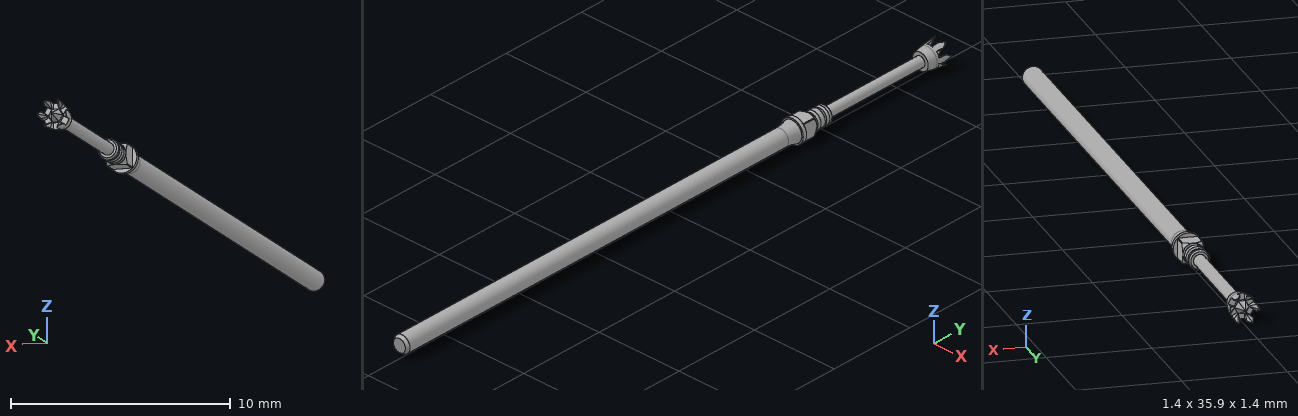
import cadquery as cq
import math


total_length = 35.9
tip_y = 9.65
end_y = tip_y - total_length
head_length = 1.38
head_taper_length = 0.47
sleeve_length = 1.98
sleeve_chamfer = 0.08
square_length = 0.9
collar_length = 0.22
flare_length = 0.77
end_chamfer_length = 0.18
end_chamfer_depth = 0.12

head_tip_diameter = 1.4
head_rim_diameter = 1.2
head_base_diameter = 1.0
shaft_diameter = 0.6
barrel_diameter = 1.0
collar_diameter = 1.4
flare_diameter = 1.22

square_width = 1.0
square_corner_diameter = 1.37

groove_depth = 0.05
groove_width = 0.3
groove_centres = (1.6, 1.02)

crown_directions = 3
crown_pitch = head_tip_diameter / 2
crown_row_spacing = crown_pitch * math.sin(math.pi / 3)
crown_depth = 0.6

slot_count = 6
slot_width = 0.32
slot_depth = 0.75
slot_inner_radius = 0.3


def turned(points):
    """Solid of revolution about Y from (radius, y) points, closed along the axis."""
    start_y = points[0][1]
    stop_y = points[-1][1]
    outline = [(0, start_y)] + points + [(0, stop_y)]
    return cq.Workplane("XY").polyline(outline).close().revolve(360, (0, 0, 0), (0, 1, 0))


def make_head():
    base_y = tip_y - head_length
    rim_y = base_y + head_taper_length
    head = turned([
        (head_base_diameter / 2, base_y),
        (head_rim_diameter / 2, rim_y),
        (head_tip_diameter / 2, tip_y),
    ])
    for direction in range(crown_directions):
        for side in (-1, 1):
            head = head.cut(crown_groove(side, direction * 180 / crown_directions))
    for index in range(slot_count):
        head = head.cut(crown_slot((index + 0.5) * 360 / slot_count))
    return head


def crown_groove(side, angle):
    """V groove between two neighbouring rows of points, turned about the axis."""
    middle = side * crown_row_spacing / 2
    half_width = crown_row_spacing / 2
    return (
        cq.Workplane("YZ")
        .polyline([
            (tip_y - crown_depth, middle),
            (tip_y, middle + half_width),
            (tip_y, middle - half_width),
        ])
        .close()
        .extrude(head_tip_diameter, both=True)
        .rotate((0, 0, 0), (0, 1, 0), angle)
    )


def crown_slot(angle):
    """Straight-sided slot cut outwards between two outer points, turned about the axis."""
    slot_length = head_tip_diameter / 2
    return (
        cq.Workplane("XY")
        .box(slot_length, slot_depth, slot_width, centered=(False, False, True))
        .translate((slot_inner_radius, tip_y - slot_depth, 0))
        .rotate((0, 0, 0), (0, 1, 0), angle)
    )


def make_shaft():
    return turned([
        (shaft_diameter / 2, 0),
        (shaft_diameter / 2, tip_y - head_length),
    ])


def make_sleeve():
    radius = barrel_diameter / 2
    sleeve = turned([
        (radius, 0),
        (radius, sleeve_length - sleeve_chamfer),
        (radius - sleeve_chamfer, sleeve_length),
    ])
    for centre in groove_centres:
        sleeve = sleeve.cut(sleeve_groove(centre))
    return sleeve


def sleeve_groove(centre):
    radius = barrel_diameter / 2
    return (
        cq.Workplane("XY")
        .polyline([
            (radius, centre - groove_width / 2),
            (radius - groove_depth, centre),
            (radius, centre + groove_width / 2),
        ])
        .close()
        .revolve(360, (0, 0, 0), (0, 1, 0))
    )


def make_square():
    """Square neck with its corners and upper end turned down to the sleeve."""
    corner_radius = square_corner_diameter / 2
    sleeve_radius = barrel_diameter / 2
    blank = turned([
        (corner_radius, 0),
        (corner_radius, square_length - (corner_radius - sleeve_radius)),
        (sleeve_radius, square_length),
    ])
    square = cq.Workplane("XZ").rect(square_width, square_width).extrude(-square_length)
    return blank.intersect(square)


def make_barrel():
    """Plain barrel with a chamfered end and a concave flare running up to the collar."""
    radius = barrel_diameter / 2
    flare_radius = flare_diameter / 2
    collar_radius = collar_diameter / 2
    flare_start_y = -collar_length - flare_length
    return (
        cq.Workplane("XY")
        .moveTo(0, end_y)
        .lineTo(radius - end_chamfer_depth, end_y)
        .lineTo(radius, end_y + end_chamfer_length)
        .lineTo(radius, flare_start_y)
        .tangentArcPoint((flare_radius, -collar_length), relative=False)
        .lineTo(collar_radius, -collar_length)
        .lineTo(collar_radius, 0)
        .lineTo(0, 0)
        .close()
        .revolve(360, (0, 0, 0), (0, 1, 0))
    )


result = (
    make_barrel()
    .union(make_square())
    .union(make_sleeve())
    .union(make_shaft())
    .union(make_head())
)